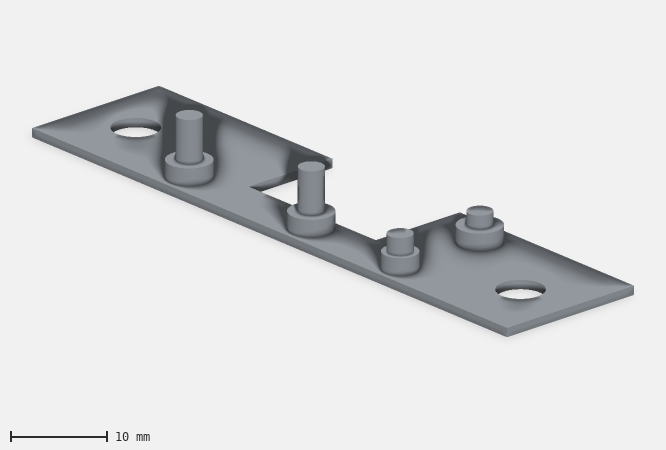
import cadquery as cq

plate_length = 74.0
plate_width = 17.6
plate_thickness = 1.0

notch_left = 27.0
notch_width = 19.8
bridge_width = 6.0

hole_diameter = 5.25
hole_end_distance = 7.0
hole_y = 8.15

collar_top = 3.0
collar_diameter = 5.0
small_collar_diameter = 4.0
pin_diameter = 2.8

tall_pin_top = 8.0
middle_pin_top = 5.0
short_pin_top = 4.6

tall_post_y = 3.1
left_post_x = 21.0
center_post_x = 40.0
right_post_x = 54.5
right_front_post_y = 2.6
right_back_post_y = 13.6


def make_plate():
    plate = cq.Workplane("XY").box(plate_length, plate_width, plate_thickness, centered=False)
    notch = (
        cq.Workplane("XY")
        .box(notch_width, plate_width - bridge_width, plate_thickness, centered=False)
        .translate((notch_left, bridge_width, 0))
    )
    holes = (
        cq.Workplane("XY")
        .pushPoints([(hole_end_distance, hole_y), (plate_length - hole_end_distance, hole_y)])
        .circle(hole_diameter / 2)
        .extrude(plate_thickness)
    )
    return plate.cut(notch).cut(holes)


def make_post(x, y, base_diameter, pin_top):
    """Collar and pin on one axis, both starting at the underside of the plate."""
    axis = cq.Workplane("XY").center(x, y)
    collar = axis.circle(base_diameter / 2).extrude(collar_top)
    pin = axis.circle(pin_diameter / 2).extrude(pin_top)
    return collar.union(pin)


posts = [
    (left_post_x, tall_post_y, collar_diameter, tall_pin_top),
    (center_post_x, tall_post_y, collar_diameter, tall_pin_top),
    (right_post_x, right_front_post_y, small_collar_diameter, middle_pin_top),
    (right_post_x, right_back_post_y, collar_diameter, short_pin_top),
]

result = make_plate()
for x, y, base_diameter, pin_top in posts:
    result = result.union(make_post(x, y, base_diameter, pin_top))